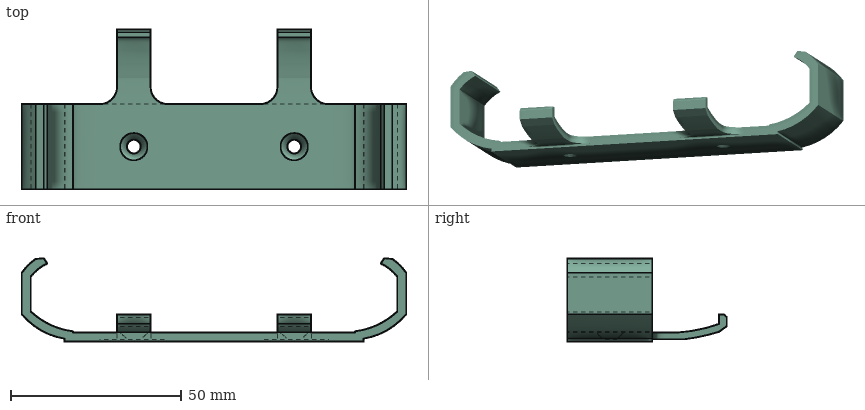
import cadquery as cq

length = 113.0
depth = 25.1
plate_top = 2.7
half_length = length / 2
plate_half_bottom = 44.1
plate_half_top = 41.4

wall = 2.7
height = 24.5
inner_half = half_length - wall
outer_wall_low, outer_wall_high = 8.0, 20.2
inner_wall_low, inner_wall_high = 8.8, 19.1
outer_curve_end = (43.8, 0.8)
inner_curve_end = (41.5, 3.0)
outer_curve_mid = (51.4, 3.6)
inner_curve_mid = (48.4, 5.1)
outer_lip_mid = (54.6, 22.5)
inner_lip_mid = (51.5, 21.4)
lip_flat_outer, lip_flat_inner = 52.4, 50.1
lip_flat_outer_height = 24.3
lip_tip = (48.9, 22.9)

arm_spacing = 47.1
arm_width = 10.0
arm_bottom = 0.7
arm_reach = 47.0
arm_wall = 2.4
arm_height = 8.0
arm_tip_chamfer = 0.9
arm_outer_low, arm_inner_low = 4.5, 5.2
arm_curve_start_bottom = (34.8, arm_bottom)
arm_curve_start_top = (32.8, plate_top)
arm_bottom_mid = (39.4, 1.5)
arm_top_mid = (39.1, 3.6)
arm_bevel_end = (44.6, 2.8)
root_radius = 5.0

hole_diameter = 4.0
sink_diameter = 8.0
sink_angle = 90

arm_centers = (-arm_spacing / 2, arm_spacing / 2)


def make_plate():
    return (
        cq.Workplane("XZ")
        .moveTo(-plate_half_bottom, 0)
        .lineTo(plate_half_bottom, 0)
        .lineTo(plate_half_top, plate_top)
        .lineTo(-plate_half_top, plate_top)
        .close()
        .extrude(-depth)
    )


def make_right_wall():
    """Curled wall at the +X end, including its foot on the plate."""
    return (
        cq.Workplane("XZ")
        .moveTo(plate_half_top, 0)
        .lineTo(plate_half_bottom, 0)
        .lineTo(*outer_curve_end)
        .threePointArc(outer_curve_mid, (half_length, outer_wall_low))
        .lineTo(half_length, outer_wall_high)
        .threePointArc(outer_lip_mid, (lip_flat_outer, lip_flat_outer_height))
        .lineTo(lip_flat_inner, height)
        .lineTo(*lip_tip)
        .threePointArc(inner_lip_mid, (inner_half, inner_wall_high))
        .lineTo(inner_half, inner_wall_low)
        .threePointArc(inner_curve_mid, inner_curve_end)
        .lineTo(plate_half_top, plate_top)
        .close()
        .extrude(-depth)
    )


def make_arm(center_x):
    """Upturned rear arm, overlapping the plate at its front end."""
    arm_inner = arm_reach - arm_wall
    start = depth - root_radius
    return (
        cq.Workplane("YZ", origin=(center_x - arm_width / 2, 0, 0))
        .moveTo(start, arm_bottom)
        .lineTo(*arm_curve_start_bottom)
        .threePointArc(arm_bottom_mid, arm_bevel_end)
        .lineTo(arm_reach, arm_outer_low)
        .lineTo(arm_reach, arm_height - arm_tip_chamfer)
        .lineTo(arm_reach - arm_tip_chamfer, arm_height)
        .lineTo(arm_inner, arm_height)
        .lineTo(arm_inner, arm_inner_low)
        .threePointArc(arm_top_mid, arm_curve_start_top)
        .lineTo(start, plate_top)
        .close()
        .extrude(arm_width)
    )


def make_arm_root(center_x):
    """Flared root: a block behind the plate with a round cut from each side."""
    root_width = arm_width + 2 * root_radius
    thickness = plate_top - arm_bottom
    block = (
        cq.Workplane("XY", origin=(center_x, depth, arm_bottom))
        .rect(root_width, 2 * root_radius)
        .extrude(thickness)
    )
    rounds = (
        cq.Workplane("XY", origin=(center_x, depth + root_radius, arm_bottom))
        .pushPoints([(-root_width / 2, 0), (root_width / 2, 0)])
        .circle(root_radius)
        .extrude(thickness)
    )
    return block.cut(rounds)


right_wall = make_right_wall()
body = make_plate().union(right_wall).union(right_wall.mirror("YZ"))
for arm_x in arm_centers:
    body = body.union(make_arm(arm_x)).union(make_arm_root(arm_x))

result = (
    body.copyWorkplane(cq.Workplane("XY", origin=(0, depth / 2, plate_top)))
    .pushPoints([(arm_x, 0) for arm_x in arm_centers])
    .cskHole(hole_diameter, sink_diameter, sink_angle, depth=plate_top)
)